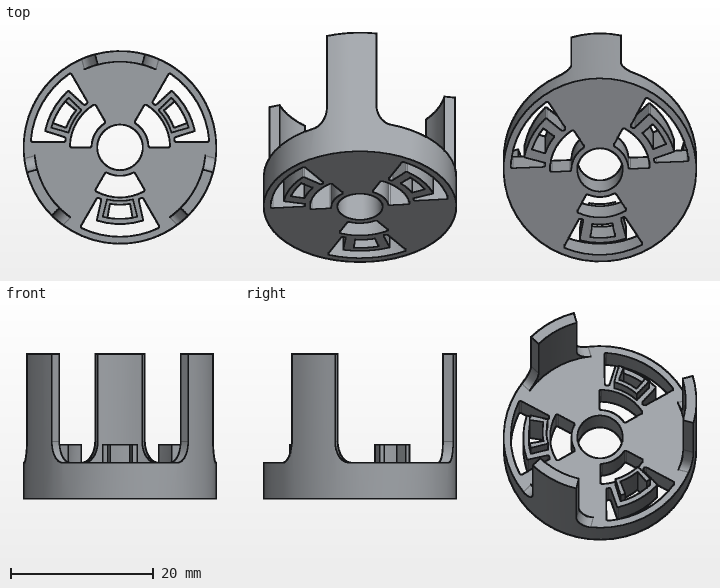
import math

import cadquery as cq

radius_tolerance = 0.01

base_radius = 13.5
base_height = 5.08
bore_radius = 3.175

repeat_count = 3
first_arm_angle = 90.0
total_height = 20.32
arm_inner_radius = 12.0
arm_half_angle = 15.0
flare_width = 2.0
flare_height = 3.0

first_window_angle = first_arm_angle + 180.0 / repeat_count
window_half_angle = 30.0
window_corner_radius = 0.25
inner_window_inner_radius = 4.0
inner_window_outer_radius = 7.0

outer_window_inner_radius = 7.7
outer_window_outer_radius = 12.5
outer_window_side_inset = 0.77
tongue_outer_radius = 10.75
tongue_half_angle = 12.5
tongue_side_offset = 0.98
tongue_corner_radius = 0.15

socket_height = 2.54
socket_inner_radius = 7.5
socket_end_radius = 10.0
socket_half_angle = 14.0
opening_inner_radius = 8.05
opening_half_angle = 10.0


def ring(inner_radius, outer_radius, height):
    """Upright tube about the Z axis, standing on Z = 0."""
    return cq.Workplane("XY").circle(outer_radius).circle(inner_radius).extrude(height)


def sector(inner_radius, outer_radius, half_angle, height, side_inset=0.0):
    """Ring sector about the +X axis; a positive inset moves both straight sides inward."""
    apex_x = side_inset / math.sin(math.radians(half_angle))
    wedge_length = 2 * outer_radius
    wedge_half_width = wedge_length * math.tan(math.radians(half_angle))
    wedge = (
        cq.Workplane("XY")
        .moveTo(apex_x, 0)
        .lineTo(apex_x + wedge_length, -wedge_half_width)
        .lineTo(apex_x + wedge_length, wedge_half_width)
        .close()
        .extrude(height)
    )
    return ring(inner_radius, outer_radius, height).intersect(wedge)


def repeat_around_axis(feature, first_angle):
    """Equally spaced copies of a feature drawn about the +X axis."""
    copies = cq.Workplane("XY")
    for index in range(repeat_count):
        angle = first_angle + index * 360.0 / repeat_count
        copies = copies.add(feature.rotate((0, 0, 0), (0, 0, 1), angle))
    return copies.combine()


def make_flare():
    """Web along +X on the +Y side of the XZ plane, with a hollow quarter-ellipse edge."""
    block = cq.Workplane("YZ").rect(flare_width, flare_height, centered=False).extrude(base_radius)
    hollow = (
        cq.Workplane("YZ")
        .center(flare_width, flare_height)
        .ellipse(flare_width, flare_height)
        .extrude(base_radius)
    )
    return block.cut(hollow)


def make_arm():
    """Arm about the +X axis with a flare at the foot of each side."""
    arm = sector(arm_inner_radius, base_radius, arm_half_angle, total_height)
    flare = (
        make_flare()
        .rotate((0, 0, 0), (0, 0, 1), arm_half_angle)
        .translate((0, 0, base_height))
        .intersect(ring(arm_inner_radius, base_radius, total_height))
    )
    return arm.union(flare).union(flare.mirror("XZ"))


def round_corners(body, arc_radius, corner_radius):
    """Round the upright edges that lie at the given distance from the Z axis."""

    def lies_on_arc(edge):
        middle = edge.Center()
        return abs(math.hypot(middle.x, middle.y) - arc_radius) < radius_tolerance

    return body.edges("|Z").filter(lies_on_arc).fillet(corner_radius)


def make_inner_window():
    """Cutter for the window next to the bore, about the +X axis."""
    window = sector(
        inner_window_inner_radius, inner_window_outer_radius, window_half_angle, base_height
    )
    return window.edges("|Z").fillet(window_corner_radius)


def make_outer_window():
    """Cutter for the window that wraps around the tongue, about the +X axis."""
    window = sector(
        outer_window_inner_radius,
        outer_window_outer_radius,
        window_half_angle,
        base_height,
        outer_window_side_inset,
    )
    tongue = sector(
        bore_radius, tongue_outer_radius, tongue_half_angle, base_height, -tongue_side_offset
    )
    window = window.cut(tongue)
    window = round_corners(window, outer_window_inner_radius, window_corner_radius)
    window = round_corners(window, outer_window_outer_radius, window_corner_radius)
    return round_corners(window, tongue_outer_radius, tongue_corner_radius)


def make_socket():
    """Solid block of the socket about the +X axis, before its opening is cut."""
    return sector(
        socket_inner_radius, socket_end_radius, socket_half_angle, base_height + socket_height
    )


def make_opening():
    """Cutter through the socket and base, open at the outer end of the socket."""
    return sector(
        opening_inner_radius, socket_end_radius, opening_half_angle, base_height + socket_height
    )


base = ring(bore_radius, base_radius, base_height)
result = (
    base.cut(repeat_around_axis(make_inner_window(), first_window_angle))
    .cut(repeat_around_axis(make_outer_window(), first_window_angle))
    .union(repeat_around_axis(make_arm(), first_arm_angle))
    .union(repeat_around_axis(make_socket(), first_window_angle))
    .cut(repeat_around_axis(make_opening(), first_window_angle))
)